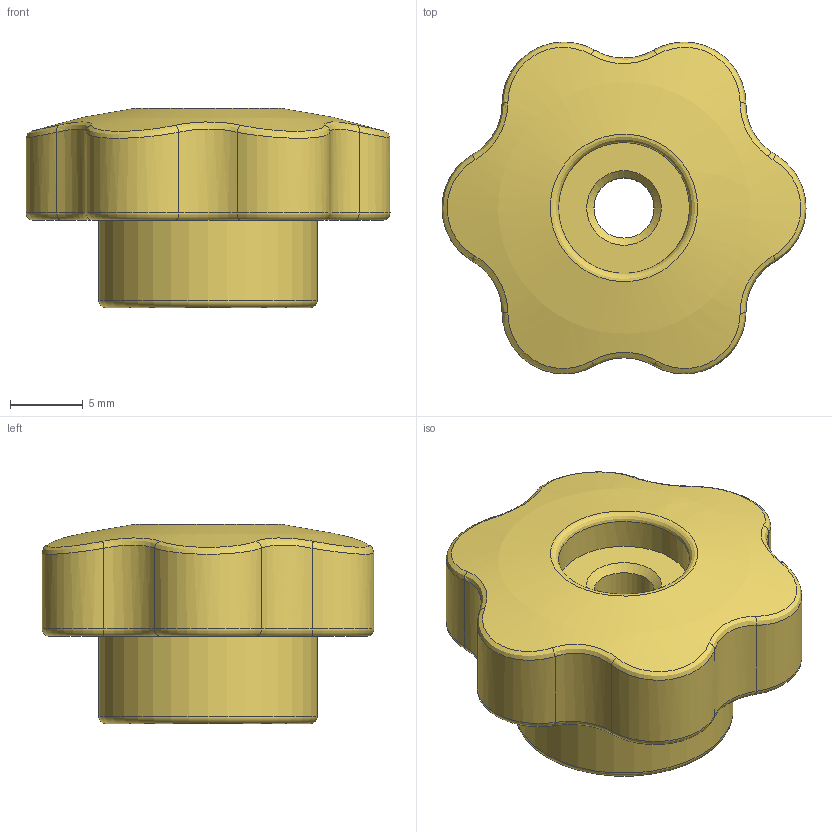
import cadquery as cq
import math

lobe_count = 6
grip_diameter = 25.0
lobe_radius = 4.25
hollow_radius = 4.0
grip_edge_radius = 0.5

hub_height = 6.0
dome_apex_height = 14.0
counterbore_floor_height = 11.1

hub_diameter = 15.0
hub_edge_radius = 0.5
dome_radius = 40.0
counterbore_diameter = 9.0
counterbore_edge_radius = 0.5
bore_diameter = 4.13
bore_chamfer = 0.5

pitch_angle = 360.0 / lobe_count
half_pitch = math.radians(pitch_angle / 2)
lobe_center_distance = grip_diameter / 2 - lobe_radius
hollow_center_distance = lobe_center_distance * math.cos(half_pitch) + math.sqrt(
    (lobe_radius + hollow_radius) ** 2 - (lobe_center_distance * math.sin(half_pitch)) ** 2
)
hollow_floor_distance = hollow_center_distance - hollow_radius


def polar_point(distance, angle):
    """Point at a distance from the Z axis, with its angle in degrees."""
    return (distance * math.cos(math.radians(angle)), distance * math.sin(math.radians(angle)))


def tangent_point(lobe_angle, hollow_angle):
    """Point where a lobe circle touches the neighbouring hollow circle."""
    lobe_x, lobe_y = polar_point(lobe_center_distance, lobe_angle)
    hollow_x, hollow_y = polar_point(hollow_center_distance, hollow_angle)
    share = lobe_radius / (lobe_radius + hollow_radius)
    return (lobe_x + share * (hollow_x - lobe_x), lobe_y + share * (hollow_y - lobe_y))


def grip_outline():
    """Closed outline of alternating lobe and hollow arcs, at the grip's underside."""
    outline = cq.Workplane("XY", origin=(0, 0, hub_height))
    outline = outline.moveTo(*tangent_point(0, -pitch_angle / 2))
    for index in range(lobe_count):
        lobe_angle = index * pitch_angle
        hollow_angle = lobe_angle + pitch_angle / 2
        next_lobe_angle = lobe_angle + pitch_angle
        outline = outline.threePointArc(
            polar_point(grip_diameter / 2, lobe_angle), tangent_point(lobe_angle, hollow_angle)
        )
        outline = outline.threePointArc(
            polar_point(hollow_floor_distance, hollow_angle), tangent_point(next_lobe_angle, hollow_angle)
        )
    return outline.close()


def seam_on_joint(body):
    """Turn a round body's seam onto a lobe-to-hollow joint so that it splits no arc."""
    joint_x, joint_y = tangent_point(0, pitch_angle / 2)
    joint_angle = math.degrees(math.atan2(joint_y, joint_x))
    return body.rotate((0, 0, 0), (0, 0, 1), joint_angle)


def make_grip():
    """Lobed prism under a spherical dome, with rounded top and bottom rims."""
    prism = grip_outline().extrude(dome_apex_height - hub_height)
    dome = cq.Workplane("XY").sphere(dome_radius).translate((0, 0, dome_apex_height - dome_radius))
    return prism.intersect(seam_on_joint(dome)).edges("not |Z").fillet(grip_edge_radius)


def make_hub():
    """Cylindrical hub with a rounded bottom edge, reaching up to the grip."""
    hub = cq.Workplane("XY").circle(hub_diameter / 2).extrude(hub_height)
    return hub.faces("<Z").edges().fillet(hub_edge_radius)


def cut_counterbore(body):
    """Round recess in the dome with a rounded mouth."""
    recess = cq.Workplane("XY", origin=(0, 0, counterbore_floor_height))
    recess = recess.circle(counterbore_diameter / 2).extrude(dome_apex_height - counterbore_floor_height)
    body = body.cut(seam_on_joint(recess))
    mouth_radius = counterbore_diameter / 2
    mouth_height = dome_apex_height - dome_radius + math.sqrt(dome_radius**2 - mouth_radius**2)
    mouth_zone = cq.selectors.BoxSelector(
        (-mouth_radius, -mouth_radius, mouth_height - counterbore_edge_radius),
        (mouth_radius, mouth_radius, mouth_height + counterbore_edge_radius),
    )
    mouth = body.edges(mouth_zone).edges("%CIRCLE")
    return mouth.fillet(counterbore_edge_radius)


def cut_bore(body):
    """Through bore chamfered where it opens into the counterbore."""
    bore_radius = bore_diameter / 2
    bore = cq.Workplane("XY").circle(bore_radius).extrude(counterbore_floor_height)
    countersink = cq.Workplane("XY", origin=(0, 0, counterbore_floor_height - bore_chamfer))
    countersink = countersink.circle(bore_radius).workplane(offset=bore_chamfer)
    countersink = countersink.circle(bore_radius + bore_chamfer).loft()
    return body.cut(bore).cut(countersink)


result = cut_bore(cut_counterbore(make_grip().union(make_hub())))